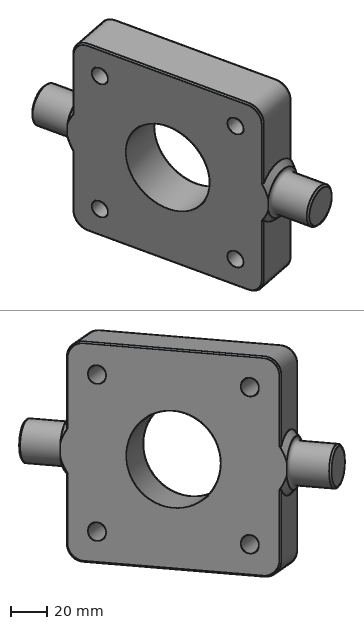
import cadquery as cq

overall_length = 182.0
plate_side = 125.0
plate_thickness = 29.0
corner_radius = 10.0
edge_chamfer = 1.0

bore_diameter = 55.0
bolt_hole_diameter = 10.5
bolt_hole_spacing = 89.0

pin_diameter = 25.0
pin_end_chamfer = 1.1
pin_root_fillet = 2.0
shoulder_radius = 15.0
shoulder_height = 3.5
cone_embed_depth = 3.6

pin_end_x = overall_length / 2
pin_radius = pin_diameter / 2
plate_edge_x = plate_side / 2
shoulder_x = plate_edge_x + shoulder_height
cone_base_x = plate_edge_x - cone_embed_depth
cone_base_radius = shoulder_radius + shoulder_height + cone_embed_depth


def make_plate():
    """Rounded square plate, chamfered around both large faces."""
    return (
        cq.Workplane("XY")
        .box(plate_side, plate_thickness, plate_side)
        .edges("|Y")
        .fillet(corner_radius)
        .faces("<Y or >Y")
        .chamfer(edge_chamfer)
    )


def make_trunnion():
    """Pin on the +X side with a conical shoulder, flush with the plate faces."""
    trunnion = (
        cq.Workplane("XY")
        .moveTo(cone_base_x, 0)
        .lineTo(cone_base_x, cone_base_radius)
        .lineTo(shoulder_x, shoulder_radius)
        .lineTo(shoulder_x, pin_radius + pin_root_fillet)
        .radiusArc((shoulder_x + pin_root_fillet, pin_radius), -pin_root_fillet)
        .lineTo(pin_end_x - pin_end_chamfer, pin_radius)
        .lineTo(pin_end_x, pin_radius - pin_end_chamfer)
        .lineTo(pin_end_x, 0)
        .close()
        .revolve(360, (0, 0, 0), (1, 0, 0))
    )
    thickness_limit = cq.Workplane("XY").box(overall_length, plate_thickness, plate_side)
    return trunnion.intersect(thickness_limit)


def drill_holes(body):
    """Cut the central bore and the four bolt holes through the plate thickness."""
    bored = body.faces("<Y").workplane(origin=(0, 0, 0)).hole(bore_diameter)
    return (
        bored.faces("<Y")
        .workplane(origin=(0, 0, 0))
        .rect(bolt_hole_spacing, bolt_hole_spacing, forConstruction=True)
        .vertices()
        .hole(bolt_hole_diameter)
    )


right_trunnion = make_trunnion()
left_trunnion = right_trunnion.mirror("YZ")
solid_body = make_plate().union(right_trunnion).union(left_trunnion)
result = drill_holes(solid_body)